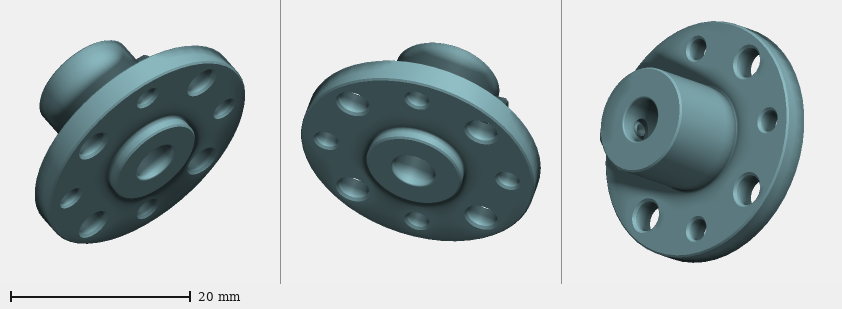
import cadquery as cq
import math

flange_diameter = 27.0
flange_thickness = 3.0
hub_diameter = 12.0
hub_length = 9.5
pilot_diameter = 11.0
pilot_length = 1.5
bore_diameter = 5.0
total_length = hub_length + flange_thickness + pilot_length

edge_chamfer = 0.2
root_fillet = 0.2
bore_rim_radius = 0.2

hole_circle_radius = 10.5
holes_per_set = 4
small_hole_diameter = 2.45
large_hole_diameter = 3.4
small_hole_chamfer = 0.27
large_hole_chamfer = 0.3
large_hole_angle = 45.0

screw_diameter = 3.0
screw_position = 3.0
screw_outer_end = 7.5
screw_inner_end = bore_diameter / 2
screw_hole_diameter = 2.45
cup_diameter = 1.4
cup_point_angle = 120.0
screw_chamfer = 0.3


def chamfered_hole(start, length, diameter, chamfer):
    """Cutter along X for a through hole chamfered at both mouths."""
    radius = diameter / 2
    mouth_radius = radius + chamfer
    end = start + length
    profile = [
        (start, 0),
        (start, mouth_radius),
        (start + chamfer, radius),
        (end - chamfer, radius),
        (end, mouth_radius),
        (end, 0),
    ]
    return cq.Workplane("XY").polyline(profile).close().revolve(360, (0, 0, 0), (1, 0, 0))


def screw_axis_cylinder(diameter, inner_end, outer_end):
    """Cylinder along +Y at the set screw position."""
    plane = cq.Plane(origin=(screw_position, inner_end, 0), xDir=(1, 0, 0), normal=(0, 1, 0))
    return cq.Workplane(plane).circle(diameter / 2).extrude(outer_end - inner_end)


def screw_blank():
    """Screw shank with a chamfered outer end and an inner end tapered down to the cup rim."""
    shank = screw_axis_cylinder(screw_diameter, screw_inner_end, screw_outer_end)
    tip_taper = (screw_diameter - cup_diameter) / 2
    return shank.faces(">Y").chamfer(screw_chamfer).faces("<Y").chamfer(tip_taper)


def stepped_body():
    """Hub, flange and pilot turned as one piece, with chamfered rims and filleted roots."""
    hub_radius = hub_diameter / 2
    flange_radius = flange_diameter / 2
    pilot_radius = pilot_diameter / 2
    flange_end = hub_length + flange_thickness
    arc_inset = root_fillet * (1 - math.sqrt(0.5))
    return (
        cq.Workplane("XY")
        .lineTo(0, hub_radius - edge_chamfer)
        .lineTo(edge_chamfer, hub_radius)
        .lineTo(hub_length - root_fillet, hub_radius)
        .threePointArc(
            (hub_length - arc_inset, hub_radius + arc_inset),
            (hub_length, hub_radius + root_fillet),
        )
        .lineTo(hub_length, flange_radius - edge_chamfer)
        .lineTo(hub_length + edge_chamfer, flange_radius)
        .lineTo(flange_end - edge_chamfer, flange_radius)
        .lineTo(flange_end, flange_radius - edge_chamfer)
        .lineTo(flange_end, pilot_radius + root_fillet)
        .threePointArc(
            (flange_end + arc_inset, pilot_radius + arc_inset),
            (flange_end + root_fillet, pilot_radius),
        )
        .lineTo(total_length - edge_chamfer, pilot_radius)
        .lineTo(total_length, pilot_radius - edge_chamfer)
        .lineTo(total_length, 0)
        .close()
        .revolve(360, (0, 0, 0), (1, 0, 0))
    )


def bore_cutter():
    """Cutter for the through bore, flared so both rims come out rounded."""
    radius = bore_diameter / 2
    mouth_radius = radius + bore_rim_radius
    arc_inset = bore_rim_radius * (1 - math.sqrt(0.5))
    return (
        cq.Workplane("XY")
        .lineTo(0, mouth_radius)
        .threePointArc((arc_inset, radius + arc_inset), (bore_rim_radius, radius))
        .lineTo(total_length - bore_rim_radius, radius)
        .threePointArc((total_length - arc_inset, radius + arc_inset), (total_length, mouth_radius))
        .lineTo(total_length, 0)
        .close()
        .revolve(360, (0, 0, 0), (1, 0, 0))
    )


def hole_set(diameter, chamfer, first_angle):
    """Cutters for one set of evenly spaced flange holes."""
    cutter = chamfered_hole(hub_length, flange_thickness, diameter, chamfer)
    cutters = cq.Workplane("XY")
    for index in range(holes_per_set):
        angle = math.radians(first_angle + index * 360 / holes_per_set)
        y = hole_circle_radius * math.cos(angle)
        z = hole_circle_radius * math.sin(angle)
        cutters = cutters.add(cutter.translate((0, y, z)))
    return cutters.combine()


def make_flanged_hub():
    """Flanged hub with its bore, flange holes and set screw hole."""
    body = stepped_body()
    body = body.cut(bore_cutter())
    body = body.cut(hole_set(small_hole_diameter, small_hole_chamfer, 0))
    body = body.cut(hole_set(large_hole_diameter, large_hole_chamfer, large_hole_angle))
    body = body.cut(screw_axis_cylinder(screw_hole_diameter, 0, hub_diameter))
    return body.cut(screw_blank())


def make_set_screw():
    """Set screw with a conical cup in its inner end."""
    cup_radius = cup_diameter / 2
    cup_depth = cup_radius / math.tan(math.radians(cup_point_angle / 2))
    cup = cq.Workplane(
        cq.Solid.makeCone(
            cup_radius,
            0,
            cup_depth,
            cq.Vector(screw_position, screw_inner_end, 0),
            cq.Vector(0, 1, 0),
        )
    )
    return screw_blank().cut(cup)


flanged_hub = make_flanged_hub()
set_screw = make_set_screw()
result = cq.Compound.makeCompound([flanged_hub.val(), set_screw.val()])